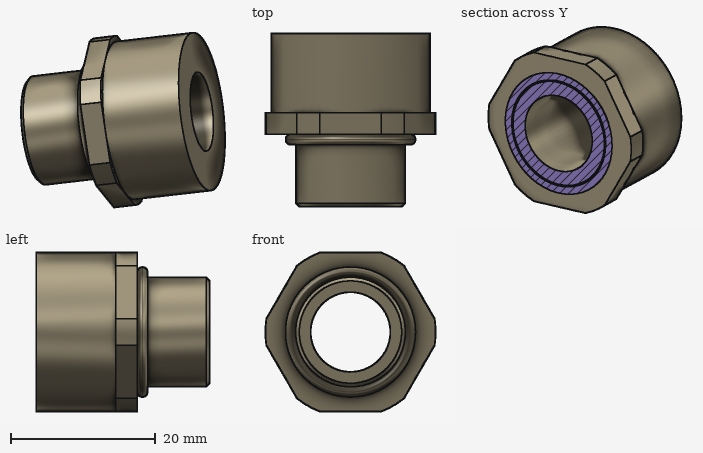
import cadquery as cq

total_length = 24.0
body_diameter = 22.0
body_length = 11.0
flange_across_flats = body_diameter
flange_round_diameter = 23.6
flange_thickness = 3.0
neck_diameter = 15.17
neck_chamfer = 0.5
bore_diameter = 11.0
ring_outer_diameter = 18.0
ring_section_diameter = 1.45
ring_seat_depth = 0.02

neck_length = total_length - body_length - flange_thickness
body_start = neck_length + flange_thickness


def cylinder_y(diameter, start, length):
    """Solid cylinder on the Y axis, growing from start toward +Y."""
    plane = cq.Workplane("XZ", origin=(0, start, 0))
    return plane.circle(diameter / 2).extrude(-length)


def hex_flange():
    """Hexagon with flats facing +Z and -Z and corners turned round."""
    hexagon = (
        cq.Workplane("XZ", origin=(0, neck_length, 0))
        .transformed(rotate=(0, 0, 30))
        .polygon(6, flange_across_flats, circumscribed=True)
        .extrude(-flange_thickness)
    )
    return hexagon.intersect(cylinder_y(flange_round_diameter, neck_length, flange_thickness))


def sealing_ring():
    """O-ring around the neck, seated against the flange."""
    section_radius = ring_section_diameter / 2
    center_radius = ring_outer_diameter / 2 - section_radius
    center_y = neck_length - section_radius + ring_seat_depth
    return (
        cq.Workplane("XY")
        .center(center_radius, center_y)
        .circle(section_radius)
        .revolve(360, (-center_radius, 0), (-center_radius, 1))
    )


neck = cylinder_y(neck_diameter, 0, neck_length).faces("<Y").chamfer(neck_chamfer)
body = cylinder_y(body_diameter, body_start, body_length)
bore = cylinder_y(bore_diameter, 0, total_length)

result = neck.union(hex_flange()).union(body).union(sealing_ring()).cut(bore)